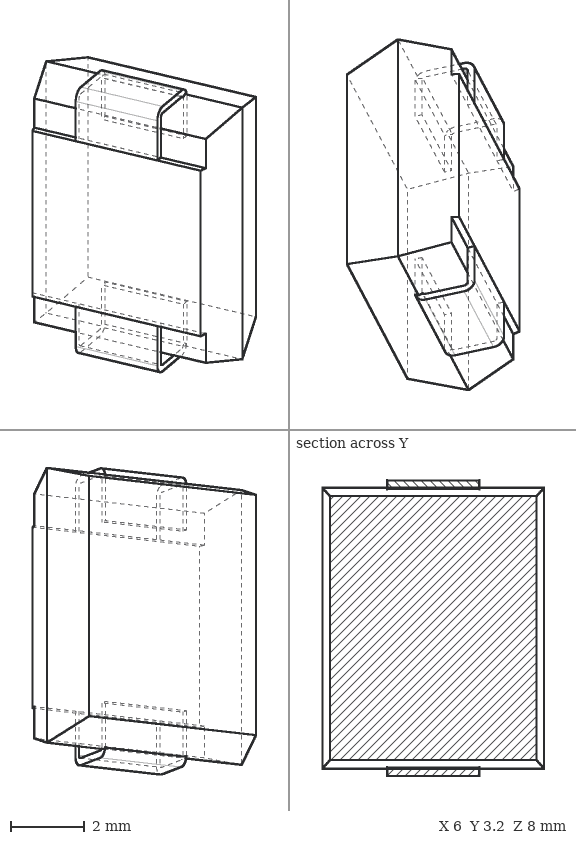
import cadquery as cq
import math

body_width = 6.0
body_length = 7.6
body_depth = 3.2
half_depth = body_depth / 2
side_draft = 15.0
end_inset = 0.48
side_inset = half_depth * math.tan(math.radians(side_draft))

lead_width = 2.5
lead_thickness = 0.2
bend_outer_radius = 0.3
bend_inner_radius = bend_outer_radius - lead_thickness
foot_length = 1.5
lead_end = body_length / 2 + lead_thickness
foot_tip = lead_end - foot_length
lead_front = -half_depth
lead_back = lead_thickness / 2


def body_half(direction):
    """Tapered half of the body, from the parting plane toward +Y (1) or -Y (-1)."""
    return (
        cq.Workplane("XZ")
        .rect(body_width, body_length)
        .workplane(offset=-direction * half_depth)
        .rect(body_width - 2 * side_inset, body_length - 2 * end_inset)
        .loft(ruled=True)
    )


def foot_recess(end):
    """Full-width step in the mounting face that seats the foot of one lead."""
    recess_bottom = foot_tip if end > 0 else -lead_end
    return (
        cq.Workplane("XY")
        .box(body_width, lead_thickness, foot_length, centered=(True, False, False))
        .translate((0, lead_front, recess_bottom))
    )


def make_lead(end):
    """U-shaped lead at the +Z (1) or -Z (-1) end: foot, outer web and a leg buried in the body."""
    outer = (
        cq.Workplane("XY")
        .box(lead_width, lead_back - lead_front, foot_length, centered=(True, False, False))
        .translate((0, lead_front, foot_tip))
        .edges("|X and >Z")
        .fillet(bend_outer_radius)
    )
    inner = (
        cq.Workplane("XY")
        .box(
            lead_width,
            lead_back - lead_front - 2 * lead_thickness,
            foot_length - lead_thickness,
            centered=(True, False, False),
        )
        .translate((0, lead_front + lead_thickness, foot_tip))
        .edges("|X and >Z")
        .fillet(bend_inner_radius)
    )
    lead = outer.cut(inner)
    return lead if end > 0 else lead.mirror("XY")


ends = (1, -1)
leads = [make_lead(end) for end in ends]

body = body_half(1).union(body_half(-1))
for end, lead in zip(ends, leads):
    body = body.cut(foot_recess(end)).cut(lead)

result = cq.Compound.makeCompound([body.solids().val(), *[lead.solids().val() for lead in leads]])